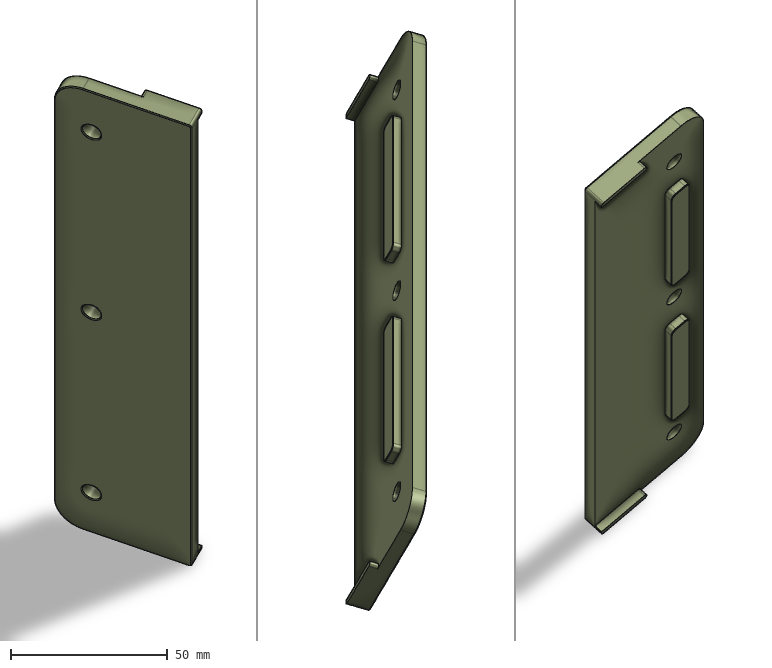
import cadquery as cq

WIDTH = 48.0
DEPTH = 8.0
HEIGHT = 220.0

PLATE_THICKNESS = 5.0
ROUND_CORNER_RADIUS = 10.0
SQUARE_CORNER_RADIUS = 1.0
FRONT_CHAMFER = 0.35

HOLE_DIAMETER = 6.5
HOLE_CHAMFER = 0.35
HOLE_PITCH = 90.0
HOLE_X = 13.0

RAISED_HEIGHT = DEPTH - PLATE_THICKNESS
RIB_WIDTH = 8.0
RIB_LENGTH = 60.0
RIB_CORNER_RADIUS = 2.0
RIB_TOP_CHAMFER = 0.25
LIP_LENGTH = 20.0
LIP_THICKNESS = 2.0

EMBED = 1.0


def box(x_min, y_min, z_min, x_size, y_size, z_size):
    """Box placed by its lowest corner."""
    return cq.Workplane("XY").box(x_size, y_size, z_size, centered=False).translate((x_min, y_min, z_min))


def make_plate():
    """Flat plate with large rounds on the -X corners and a chamfered front rim."""
    plate = box(0, 0, -HEIGHT / 2, WIDTH, PLATE_THICKNESS, HEIGHT)
    plate = plate.edges("|Y and <X").fillet(ROUND_CORNER_RADIUS)
    plate = plate.edges("|Y and >X").fillet(SQUARE_CORNER_RADIUS)
    return plate.faces("<Y").chamfer(FRONT_CHAMFER)


def make_rib(z_center):
    """Locating rib on the back face, centred between two holes."""
    rib = box(
        HOLE_X - RIB_WIDTH / 2, PLATE_THICKNESS - EMBED, z_center - RIB_LENGTH / 2,
        RIB_WIDTH, RAISED_HEIGHT + EMBED, RIB_LENGTH,
    )
    rib = rib.edges("|Y").fillet(RIB_CORNER_RADIUS)
    return rib.faces(">Y").chamfer(RIB_TOP_CHAMFER)


def make_lip(side):
    """Thin lip flush with the upper (side = 1) or lower (side = -1) end, with a full-round -X tip."""
    tip_radius = LIP_THICKNESS / 2
    tip_x = WIDTH - LIP_LENGTH + tip_radius
    z_center = side * (HEIGHT / 2 - tip_radius)
    y_min = PLATE_THICKNESS - EMBED
    y_size = RAISED_HEIGHT + EMBED
    body = box(tip_x, y_min, z_center - tip_radius, WIDTH - tip_x, y_size, LIP_THICKNESS)
    outer_corner = ">Z" if side > 0 else "<Z"
    body = body.edges("|Y and >X").edges(outer_corner).fillet(SQUARE_CORNER_RADIUS)
    tip = cq.Solid.makeCylinder(tip_radius, y_size, cq.Vector(tip_x, y_min, z_center), cq.Vector(0, 1, 0))
    return body.union(cq.Workplane(tip))


def make_hole(z_center):
    """Through-hole cutter that widens to a small chamfer at the front face."""
    radius = HOLE_DIAMETER / 2
    bore = cq.Solid.makeCylinder(radius, PLATE_THICKNESS, cq.Vector(HOLE_X, 0, z_center), cq.Vector(0, 1, 0))
    countersink = cq.Solid.makeCone(
        radius + HOLE_CHAMFER, radius, HOLE_CHAMFER, cq.Vector(HOLE_X, 0, z_center), cq.Vector(0, 1, 0)
    )
    return bore.fuse(countersink)


result = make_plate()
for row in (-1, 0, 1):
    result = result.cut(cq.Workplane(make_hole(row * HOLE_PITCH)))
for direction in (-1, 1):
    result = result.union(make_rib(direction * HOLE_PITCH / 2))
    result = result.union(make_lip(direction))